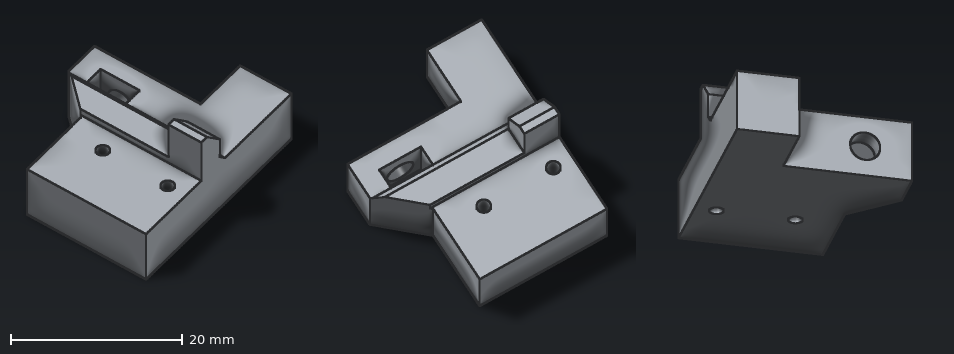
import cadquery as cq

LENGTH_X = 23.0
LENGTH_Y = 28.3
BASE_HEIGHT = 7.7
FRONT_LEFT_X = 5.6
BEVEL_FRONT_Y = 10.5
BEVEL_BACK_Y = 15.55
SHELF_BACK_Y = 20.6
REAR_ARM_WIDTH = 7.5

RIB_FRONT_Y = 10.75
RIB_BACK_Y = 15.35
RIB_HEIGHT = 1.0

TAB_WIDTH = 4.8
TAB_TOP_Z = 14.2
TAB_CHAMFER = 2.5

MOUNT_HOLE_DIAMETER = 1.7
MOUNT_HOLE_SPACING = 9.5
MOUNT_HOLE_EDGE = 2.65
MOUNT_HOLE_Y = 7.75

POCKET_LEFT_X = 2.8
POCKET_WIDTH = 5.7
POCKET_LENGTH = 2.7
POCKET_DEPTH = 6.5
SCREW_HOLE_DIAMETER = 3.6
SCREW_HOLE_Z = 3.85


def side_profile(points, left_x):
    """Extrude a (Y, Z) outline along X from left_x to the right side."""
    return (
        cq.Workplane("YZ", origin=(left_x, 0, 0))
        .polyline(points)
        .close()
        .extrude(LENGTH_X - left_x)
    )


def make_footprint(height):
    """Stepped plate outline with the slanted left side."""
    arm_left_x = LENGTH_X - REAR_ARM_WIDTH
    return (
        cq.Workplane("XY")
        .polyline([
            (FRONT_LEFT_X, 0),
            (LENGTH_X, 0),
            (LENGTH_X, LENGTH_Y),
            (arm_left_x, LENGTH_Y),
            (arm_left_x, SHELF_BACK_Y),
            (0, SHELF_BACK_Y),
            (0, BEVEL_BACK_Y),
            (FRONT_LEFT_X, BEVEL_FRONT_Y),
        ])
        .close()
        .extrude(height)
    )


def make_rib():
    """Rib that follows the slanted left side of the plate."""
    rib_top_z = BASE_HEIGHT + RIB_HEIGHT
    rib = side_profile([
        (RIB_FRONT_Y, 0),
        (RIB_BACK_Y, 0),
        (RIB_BACK_Y, BASE_HEIGHT),
        (RIB_BACK_Y - RIB_HEIGHT, rib_top_z),
        (RIB_FRONT_Y, rib_top_z),
    ], 0)
    return rib.intersect(make_footprint(rib_top_z))


def make_tab():
    """Upright tab with a 45 degree chamfer on its upper back edge."""
    tab_back_y = RIB_BACK_Y - RIB_HEIGHT
    return side_profile([
        (RIB_FRONT_Y, BASE_HEIGHT),
        (tab_back_y, BASE_HEIGHT),
        (tab_back_y, TAB_TOP_Z - TAB_CHAMFER),
        (tab_back_y - TAB_CHAMFER, TAB_TOP_Z),
        (RIB_FRONT_Y, TAB_TOP_Z),
    ], LENGTH_X - TAB_WIDTH)


def make_mount_holes():
    """Pair of vertical drills through the plate."""
    right_x = LENGTH_X - MOUNT_HOLE_EDGE
    return (
        cq.Workplane("XY")
        .pushPoints([(right_x - MOUNT_HOLE_SPACING, MOUNT_HOLE_Y), (right_x, MOUNT_HOLE_Y)])
        .circle(MOUNT_HOLE_DIAMETER / 2)
        .extrude(BASE_HEIGHT)
    )


def make_nut_pocket():
    """Blind pocket behind the rib, open at the top of the plate."""
    return cq.Workplane("XY").box(
        POCKET_WIDTH, POCKET_LENGTH, POCKET_DEPTH, centered=False
    ).translate((POCKET_LEFT_X, RIB_BACK_Y, BASE_HEIGHT - POCKET_DEPTH))


def make_screw_hole():
    """Horizontal drill along Y from the back of the shelf into the pocket."""
    center_x = POCKET_LEFT_X + POCKET_WIDTH / 2
    return (
        cq.Workplane("XZ", origin=(center_x, SHELF_BACK_Y, SCREW_HOLE_Z))
        .circle(SCREW_HOLE_DIAMETER / 2)
        .extrude(SHELF_BACK_Y - RIB_BACK_Y)
    )


body = make_footprint(BASE_HEIGHT).union(make_rib()).union(make_tab())
result = body.cut(make_mount_holes()).cut(make_nut_pocket()).cut(make_screw_hole())